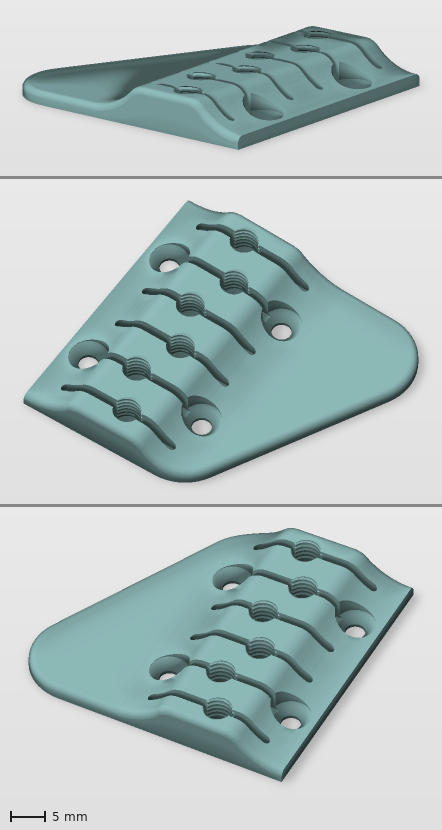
import cadquery as cq
import math

SCREW_SPAN = 20.0
PLATE_THICKNESS = 2.0
HEIGHT = 6.0
CONCAVE_RADIUS = 10.0
CONVEX_RADIUS = 3.0
RAMP_START_X = -4.0
REAR_X = 24.0

LENGTH = 44.83
REAR_HALF_WIDTH = 21.44
SIDE_TAPER = 0.0150
SLANT_ANGLE = 61.9
CORNER_RADIUS = 8.0
EDGE_FILLET = 1.0

STRING_COUNT = 6
STRING_SPACING = 6.87
STRING_FAN = 0.0052
SLOT_WIDTH = 1.35
SLOT_FLOOR_Z = 1.5
SCREWED_STRINGS = (1, 4)

SCREW_DIAMETER = 3.0
SCREW_HEAD_DIAMETER = 6.0
SCREW_HEAD_Z = PLATE_THICKNESS
SCREW_CONE_HEIGHT = (SCREW_HEAD_DIAMETER - SCREW_DIAMETER) / 2

TAP_ROWS_X = (11.5, 8.5)
TAP_RADIUS = 2.12
THREAD_RADIUS = 2.5
THREAD_PITCH = 0.8
THREAD_FULL_TURNS = 5
THREAD_RUNOUT_TURNS = 0.5
THREAD_ANGLE = 60.0
THREAD_OVERLAP = 0.1
TAP_FLOOR_Z = SLOT_FLOOR_Z
DRILL_POINT_ANGLE = 118.0


def half_width(x):
    return REAR_HALF_WIDTH - SIDE_TAPER * (REAR_X - x)


def string_y(index, x):
    return (index - (STRING_COUNT - 1) / 2) * (STRING_SPACING + STRING_FAN * x)


def side_profile():
    """Extruded XZ section: two concave ramps blended into a flat top."""
    radius_sum = CONCAVE_RADIUS + CONVEX_RADIUS
    rise = HEIGHT - PLATE_THICKNESS
    ramp_angle = math.acos(1 - rise / radius_sum)
    ramp_length = radius_sum * math.sin(ramp_angle)
    half = ramp_angle / 2

    concave_mid = (CONCAVE_RADIUS * math.sin(half),
                   PLATE_THICKNESS + CONCAVE_RADIUS * (1 - math.cos(half)))
    blend = (CONCAVE_RADIUS * math.sin(ramp_angle),
             PLATE_THICKNESS + CONCAVE_RADIUS * (1 - math.cos(ramp_angle)))
    convex_mid = (ramp_length - CONVEX_RADIUS * math.sin(half),
                  HEIGHT - CONVEX_RADIUS * (1 - math.cos(half)))
    crest = (ramp_length, HEIGHT)

    def front(point):
        return (RAMP_START_X + point[0], point[1])

    def rear(point):
        return (REAR_X - point[0], point[1])

    front_x = REAR_X - LENGTH
    return (
        cq.Workplane("XZ")
        .moveTo(front_x, 0)
        .lineTo(front_x, PLATE_THICKNESS)
        .lineTo(RAMP_START_X, PLATE_THICKNESS)
        .threePointArc(front(concave_mid), front(blend))
        .threePointArc(front(convex_mid), front(crest))
        .lineTo(*rear(crest))
        .threePointArc(rear(convex_mid), rear(blend))
        .threePointArc(rear(concave_mid), (REAR_X, PLATE_THICKNESS))
        .lineTo(REAR_X, 0)
        .close()
        .extrude(LENGTH, both=True)
    )


def outline():
    """Plan outline with the two rounded front corners, as a tall prism."""
    slant = math.radians(SLANT_ANGLE)
    centre_x = REAR_X - LENGTH + CORNER_RADIUS
    side_normal_scale = math.hypot(1, SIDE_TAPER)
    centre_y = -half_width(centre_x) + CORNER_RADIUS * side_normal_scale
    touch_x = centre_x - CORNER_RADIUS * math.sin(slant)
    touch_y = centre_y + CORNER_RADIUS * math.cos(slant)

    slope = math.tan(slant)
    slant_at_origin = touch_y - slope * touch_x
    low_x = -(half_width(0) + slant_at_origin) / (slope + SIDE_TAPER)
    high_x = (half_width(0) - slant_at_origin) / (slope - SIDE_TAPER)
    return (
        cq.Workplane("XY")
        .polyline([
            (REAR_X, -half_width(REAR_X)),
            (REAR_X, half_width(REAR_X)),
            (high_x, half_width(high_x)),
            (low_x, -half_width(low_x)),
        ])
        .close()
        .extrude(HEIGHT)
        .edges("|Z and (not >X)")
        .fillet(CORNER_RADIUS)
    )


def body():
    """Plate with its upper rim rounded, except along the flat rear end."""
    plate = side_profile().intersect(outline())
    side_faces = plate.faces("#Z and (not >X)")
    return side_faces.edges("not (|Z or <Z)").fillet(EDGE_FILLET)


def string_slot(index):
    """Round-ended channel following one string, open at the top."""
    y_front = string_y(index, 0)
    y_rear = string_y(index, SCREW_SPAN)
    angle = math.degrees(math.atan2(y_rear - y_front, SCREW_SPAN))
    middle = (SCREW_SPAN / 2, (y_front + y_rear) / 2)
    return (
        cq.Workplane("XY", origin=(*middle, SLOT_FLOOR_Z))
        .slot2D(SCREW_SPAN, SLOT_WIDTH, angle)
        .extrude(HEIGHT)
    )


def screw_hole(x, y):
    """Through hole, countersink, and clearance above it for the screw head."""
    radius = SCREW_DIAMETER / 2
    head_radius = SCREW_HEAD_DIAMETER / 2
    return (
        cq.Workplane("XZ")
        .polyline([
            (0, 0),
            (radius, 0),
            (radius, SCREW_HEAD_Z - SCREW_CONE_HEIGHT),
            (head_radius, SCREW_HEAD_Z),
            (head_radius, HEIGHT),
            (0, HEIGHT),
        ])
        .close()
        .revolve(360, (0, 0), (0, 1))
        .translate((x, y, 0))
    )


def tap_bore():
    """Blind bore on the Z axis with a conical drill point."""
    point_depth = TAP_RADIUS / math.tan(math.radians(DRILL_POINT_ANGLE / 2))
    return (
        cq.Workplane("XZ")
        .polyline([
            (0, TAP_FLOOR_Z - point_depth),
            (TAP_RADIUS, TAP_FLOOR_Z),
            (TAP_RADIUS, HEIGHT),
            (0, HEIGHT),
        ])
        .close()
        .revolve(360, (0, 0), (0, 1))
    )


def thread_groove():
    """Helical V groove on the Z axis, its root meeting the top face on the -Y side."""
    inner_radius = TAP_RADIUS - THREAD_OVERLAP
    half_opening = (THREAD_RADIUS - inner_radius) * math.tan(math.radians(THREAD_ANGLE / 2))
    groove_height = THREAD_PITCH * (THREAD_FULL_TURNS + THREAD_RUNOUT_TURNS)
    start_z = HEIGHT - THREAD_PITCH * THREAD_FULL_TURNS

    section = [(inner_radius, -half_opening), (THREAD_RADIUS, 0), (inner_radius, half_opening)]
    helices = []
    for radius, offset_z in section:
        helix = cq.Wire.makeHelix(THREAD_PITCH, groove_height, radius)
        helices.append(helix.translate(cq.Vector(0, 0, start_z + offset_z)))

    faces = []
    for helix, next_helix in zip(helices, helices[1:] + helices[:1]):
        faces.extend(cq.Face.makeRuledSurface(helix, next_helix).Faces())
    start_corners = [helix.startPoint() for helix in helices]
    end_corners = [helix.endPoint() for helix in helices]
    for corners in (start_corners, end_corners):
        faces.append(cq.Face.makeFromWires(cq.Wire.makePolygon(corners, close=True)))

    groove = cq.Solid.makeSolid(cq.Shell.makeShell(faces))
    return groove.rotate(cq.Vector(0, 0, 0), cq.Vector(0, 0, 1), -90)


def cut_all(part, cutters):
    """Remove all cutters, which do not touch one another, in one operation."""
    return part.cut(cq.Workplane(obj=cq.Compound.makeCompound(cutters)))


bore = tap_bore().val()
groove = thread_groove()
bores = []
grooves = []
slots = []
screw_holes = []
for string in range(STRING_COUNT):
    tap_x = TAP_ROWS_X[string % 2]
    tap_place = cq.Vector(tap_x, string_y(string, tap_x), 0)
    bores.append(bore.translate(tap_place))
    grooves.append(groove.translate(tap_place))
    slots.append(string_slot(string).val())
    if string in SCREWED_STRINGS:
        for screw_x in (0, SCREW_SPAN):
            screw_holes.append(screw_hole(screw_x, string_y(string, screw_x)).val())

bridge = body()
for cutters in (bores, grooves, slots, screw_holes):
    bridge = cut_all(bridge, cutters)

result = bridge.solids()